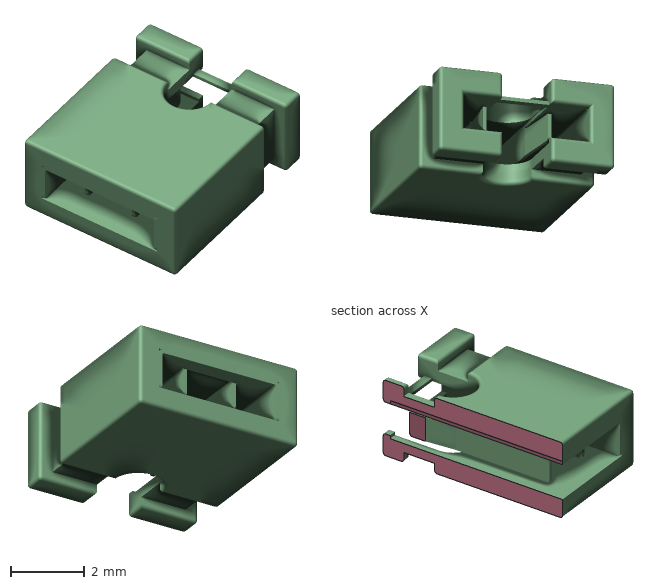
import cadquery as cq
import math

WIDTH = 5.05
LENGTH = 5.96
HEIGHT = 2.4
EDGE_RADIUS = 0.1
BODY_LENGTH = 4.26
HEAD_LENGTH = 0.705
NECK_WIDTH = 4.245
NECK_HEIGHT = 1.79
SLOT_WIDTH = 1.405

CAVITY_WIDTH = 3.83
CAVITY_HEIGHT = 1.19
LIP_LENGTH = 0.25
LIP_HEIGHT = 0.1

SHEET = 0.1
OUTER_BEND_RADIUS = 0.1
INNER_BEND_RADIUS = 0.07
REAR_BAR_LENGTH = 0.25
WINDOW_WIDTH = 1.455
WINDOW_FRONT_Y = -2.485
ARM_FRONT_Y = 0.655
ARM_LENGTH = 1.455
ARM_ANGLE = 6.0
ARM_GAP = 0.035
TAB_BOTTOM_Z = -0.3
CORNER_RADIUS = 0.1

FRONT_Y = -LENGTH / 2
REAR_Y = LENGTH / 2
BODY_REAR_Y = FRONT_Y + BODY_LENGTH
HEAD_FRONT_Y = REAR_Y - HEAD_LENGTH
CAVITY_TOP_Z = CAVITY_HEIGHT / 2
CLIP_REAR_Y = REAR_Y - LIP_LENGTH
PLATE_BOTTOM_Z = CAVITY_TOP_Z - SHEET
ARM_TOP_Z = PLATE_BOTTOM_Z - ARM_GAP
WINDOW_REAR_Y = CLIP_REAR_Y - REAR_BAR_LENGTH
SLOT_RADIUS = SLOT_WIDTH / 2

PICK_MARGIN = 0.005
UPRIGHT = cq.selectors.ParallelDirSelector(cq.Vector(0, 0, 1))


def block(width, height, y_front, y_rear):
    """Box centred on X and Z that runs from y_front to y_rear."""
    length = y_rear - y_front
    return cq.Workplane("XY").box(width, length, height).translate((0, y_front + length / 2, 0))


def slot_cutter():
    """Round-ended slot that splits the rear of the housing."""
    return (
        cq.Workplane("XY")
        .moveTo(-SLOT_RADIUS, REAR_Y)
        .lineTo(-SLOT_RADIUS, BODY_REAR_Y)
        .threePointArc((0, BODY_REAR_Y - SLOT_RADIUS), (SLOT_RADIUS, BODY_REAR_Y))
        .lineTo(SLOT_RADIUS, REAR_Y)
        .close()
        .extrude(HEIGHT, both=True)
    )


def near_slot(y):
    """Selects the edges at one Y position that lie within the slot's width."""
    reach = SLOT_RADIUS + PICK_MARGIN
    return cq.selectors.BoxSelector(
        (-reach, y - PICK_MARGIN, -HEIGHT),
        (reach, y + PICK_MARGIN, HEIGHT),
    )


def make_body(slot):
    """Front block, rounded all over except at the corners where the neck leaves it."""
    body = block(WIDTH, HEIGHT, FRONT_Y, BODY_REAR_Y).cut(slot)
    neck_corners = cq.selectors.AndSelector(near_slot(BODY_REAR_Y), UPRIGHT)
    return body.edges(-neck_corners).fillet(EDGE_RADIUS)


def make_heads(slot, opening):
    """Two gripping heads with the rear opening through them, rounded all over except inside."""
    heads = block(WIDTH, HEIGHT, HEAD_FRONT_Y, REAR_Y).cut(slot).cut(opening)
    neck_corners = cq.selectors.AndSelector(near_slot(HEAD_FRONT_Y), UPRIGHT)
    inside_opening = cq.selectors.BoxSelector(
        (-CAVITY_WIDTH / 2, HEAD_FRONT_Y - PICK_MARGIN, -CAVITY_TOP_Z),
        (CAVITY_WIDTH / 2, REAR_Y - PICK_MARGIN, CAVITY_TOP_Z),
    )
    return [
        cq.Workplane(head).edges(-neck_corners).edges(-inside_opening).fillet(EDGE_RADIUS)
        for head in heads.solids().vals()
    ]


def make_housing():
    """Body, neck and heads in one piece, hollowed from front to rear."""
    slot = slot_cutter()
    neck_front_y = BODY_REAR_Y - SLOT_RADIUS
    neck_rear_y = REAR_Y - EDGE_RADIUS
    neck = block(NECK_WIDTH, NECK_HEIGHT, neck_front_y, neck_rear_y).cut(slot)
    cavity = block(CAVITY_WIDTH, CAVITY_HEIGHT, FRONT_Y, CLIP_REAR_Y)
    opening = block(CAVITY_WIDTH - 2 * LIP_HEIGHT, CAVITY_HEIGHT - 2 * LIP_HEIGHT, FRONT_Y, REAR_Y)
    neck_opening = opening.intersect(block(WIDTH, HEIGHT, FRONT_Y, neck_rear_y))
    housing = make_body(slot).union(neck)
    for head in make_heads(slot, opening):
        housing = housing.union(head)
    return housing.cut(cavity).cut(neck_opening)


def make_channel():
    """Top plate and two side walls, with a window in the top plate."""
    inner_width = CAVITY_WIDTH - 2 * SHEET
    outside = (
        block(CAVITY_WIDTH, CAVITY_HEIGHT, FRONT_Y, CLIP_REAR_Y)
        .edges("|Y and >Z")
        .fillet(OUTER_BEND_RADIUS)
        .edges("|X and <Z")
        .fillet(CORNER_RADIUS)
    )
    inside = (
        block(inner_width, CAVITY_HEIGHT, FRONT_Y, CLIP_REAR_Y)
        .edges("|Y and >Z")
        .fillet(INNER_BEND_RADIUS)
        .translate((0, 0, -SHEET))
    )
    window = block(WINDOW_WIDTH, HEIGHT, WINDOW_FRONT_Y, WINDOW_REAR_Y)
    return outside.cut(inside).cut(window)


def make_tab(side):
    """Contact tab folded down from the window edge: a straight root, then an arm that leans outward."""
    inner_x = WINDOW_WIDTH / 2
    outer_x = inner_x + SHEET
    bend_x = outer_x + INNER_BEND_RADIUS
    root_bottom_z = ARM_TOP_Z - INNER_BEND_RADIUS
    lean = ARM_LENGTH * math.tan(math.radians(ARM_ANGLE))
    arm_rear_y = ARM_FRONT_Y + ARM_LENGTH
    plan = [
        (inner_x, WINDOW_FRONT_Y),
        (inner_x, ARM_FRONT_Y),
        (inner_x + lean, arm_rear_y),
        (outer_x + lean, arm_rear_y),
        (outer_x, ARM_FRONT_Y),
        (outer_x, WINDOW_FRONT_Y),
    ]
    tab = (
        cq.Workplane("XY", origin=(0, 0, TAB_BOTTOM_Z))
        .polyline([(side * x, y) for x, y in plan])
        .close()
        .extrude(ARM_TOP_Z - TAB_BOTTOM_Z)
        .edges("<Z and (<Y or >Y)")
        .fillet(CORNER_RADIUS)
    )
    root = (
        cq.Workplane("XZ", origin=(0, ARM_FRONT_Y, 0))
        .moveTo(side * inner_x, CAVITY_TOP_Z)
        .lineTo(side * bend_x, CAVITY_TOP_Z)
        .lineTo(side * bend_x, PLATE_BOTTOM_Z)
        .radiusArc((side * outer_x, PLATE_BOTTOM_Z - INNER_BEND_RADIUS), -side * INNER_BEND_RADIUS)
        .lineTo(side * outer_x, root_bottom_z)
        .lineTo(side * inner_x, root_bottom_z)
        .close()
        .extrude(ARM_FRONT_Y - WINDOW_FRONT_Y)
    )
    return tab.union(root)


def make_clip():
    """Channel with a mirrored pair of contact tabs."""
    clip = make_channel()
    for side in (-1, 1):
        clip = clip.union(make_tab(side))
    return clip


housing = make_housing()
clip = make_clip()
result = cq.Compound.makeCompound([housing.val(), clip.val()])